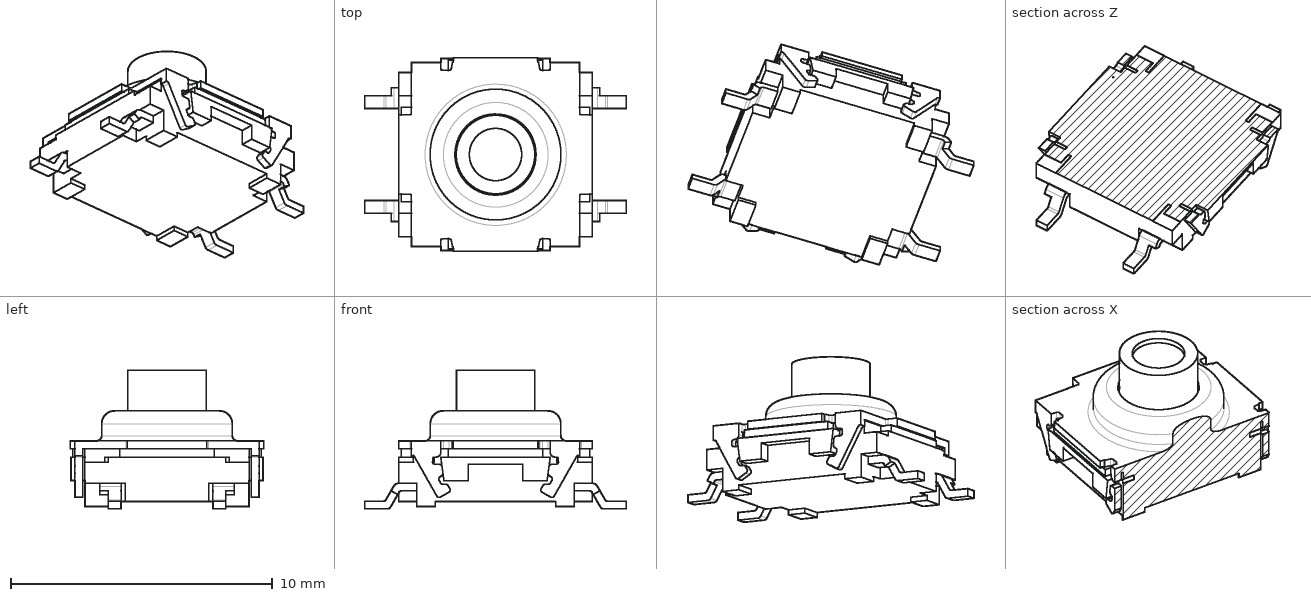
import cadquery as cq
import math


LEAD_SPAN = 10.0
BODY_SIZE = 7.4
PLUNGER_TOP = 5.3

PAD_BOTTOM = 0.09
BASE_BOTTOM = 0.28
LEDGE_BOTTOM = 0.99
LEDGE_TOP = 1.79
BASE_TOP = 1.98
COVER_TOP = 2.6
SHEET = 0.31
COVER_BOTTOM = COVER_TOP - SHEET

CORE_HALF = 3.14
RAISED_HALF = 2.24
RAISED_HALF_Y_SIDE = 2.34
RAISED_GAP = 0.13
RAISED_GAP_DEPTH = 0.5
WALL_HALF = 1.59
LOWER_HALF = 3.01
PAD_INNER_X = 2.3
PAD_INNER_Y = 2.14
SEAL_LONG_HALF = 3.6
SEAL_SHORT_HALF = 1.81

LUG_REACH = 3.67
LUG_TOP_HALF = 2.09
LUG_BOTTOM_HALF = 1.97
LUG_BOTTOM = 1.08
LUG_SLOT_HALF = 1.04
LUG_SLOT_TOP = 1.7

COVER_HALF_X = 3.21
COVER_HALF_Y = 3.52
TAB_X_HALF_WIDTH = 1.51
TAB_Y_HALF_WIDTH = 1.61
NOTCH_OUTER = LUG_TOP_HALF
NOTCH_INNER = 1.7
NOTCH_FLOOR = COVER_HALF_Y - SHEET
CORNER_RADIUS = 0.07
NOTCH_RADIUS = 0.1
LEG_SHOULDER = 2.04
LEG_ELBOW_X = 3.12
LEG_TIP = (2.19, 0.4)
LEG_TOE = (1.69, 0.69)
LOWER_RECESS = [(1.85, 0.95), (2.06, 0.93), (2.2, 1.17), (2.0, 1.31)]
LEG_GRIP_X = 2.05
HOOK_X = 2.4
LEG_RADIUS = 0.1
LEG_HEEL_RADIUS = 0.18

BOOT_DIAMETER = 5.0
BOOT_TOP = 3.75
BOOT_ROUND = 0.5
BOOT_FLARE = 0.2
PLUNGER_DIAMETER = 3.0
BOOT_HOLE_DIAMETER = 3.1
BOOT_HOLE_DEPTH = 0.2
DIMPLE_DIAMETER = 2.0
DIMPLE_DEPTH = 0.2

LEAD_THICKNESS = 0.3
LEAD_ANGLE = math.radians(60)
LEAD_INNER_Y = 1.75
LEAD_WIDTH = 0.5
LEAD_ROOT_WIDTH = 0.81
LEAD_SLOPE_X = 3.82
LEAD_ROOT_SLOPE = 0.34
LEAD_SHOULDER_RADIUS = 0.25
LEAD_SMALL_RADIUS = 0.1
LEAD_HEEL_RADIUS = 0.15

HALF_BODY = BODY_SIZE / 2


def block(half_x, half_y, bottom, top):
    """Box centred on the Z axis."""
    return cq.Workplane("XY").workplane(offset=bottom).rect(2 * half_x, 2 * half_y).extrude(top - bottom)


def block_between(x0, x1, y0, y1, z0, z1):
    """Box given by its limits on each axis."""
    return cq.Workplane("XY").box(x1 - x0, y1 - y0, z1 - z0, centered=False).translate((x0, y0, z0))


def prism_along_y(points, y0, y1):
    """Outline of (x, z) points extruded from y0 to y1."""
    return cq.Workplane("XZ", origin=(0, y0, 0)).polyline(points).close().extrude(y0 - y1)


def mirrored_x(shape):
    """Shape joined with its mirror image at -X."""
    return shape.union(shape.mirror("YZ"))


def mirrored_y(shape):
    """Shape joined with its mirror image at -Y."""
    return shape.union(shape.mirror("XZ"))


def make_base():
    base = block(LOWER_HALF, CORE_HALF, BASE_BOTTOM, LEDGE_TOP)
    base = base.union(block(CORE_HALF, CORE_HALF, LEDGE_BOTTOM, COVER_BOTTOM))
    base = base.union(block(HALF_BODY, CORE_HALF, LEDGE_BOTTOM, LEDGE_TOP))
    base = base.union(block(HALF_BODY, WALL_HALF, BASE_BOTTOM, LEDGE_BOTTOM))

    gap_floor = CORE_HALF - RAISED_GAP_DEPTH
    gap_x_side = block_between(
        gap_floor, CORE_HALF,
        RAISED_HALF, RAISED_HALF + RAISED_GAP,
        LEDGE_TOP, BASE_TOP,
    )
    gap_y_side = block_between(
        RAISED_HALF_Y_SIDE, RAISED_HALF_Y_SIDE + RAISED_GAP,
        gap_floor, CORE_HALF,
        LEDGE_TOP, BASE_TOP,
    )
    for gap in (gap_x_side, gap_y_side):
        base = base.cut(mirrored_y(mirrored_x(gap)))

    base = base.union(block(HALF_BODY, RAISED_HALF, LEDGE_TOP, BASE_TOP))
    base = base.union(block(SEAL_LONG_HALF, SEAL_SHORT_HALF, BASE_TOP, COVER_BOTTOM))
    base = base.union(block(SEAL_SHORT_HALF, SEAL_LONG_HALF, BASE_TOP, COVER_BOTTOM))

    pad = block_between(PAD_INNER_X, LOWER_HALF, PAD_INNER_Y, CORE_HALF, PAD_BOTTOM, BASE_BOTTOM)
    return base.union(mirrored_y(mirrored_x(pad)))


def make_lugs():
    outline = [
        (LUG_TOP_HALF, BASE_TOP),
        (LUG_BOTTOM_HALF, LUG_BOTTOM),
        (LUG_SLOT_HALF, LUG_BOTTOM),
        (LUG_SLOT_HALF, LUG_SLOT_TOP),
    ]
    outline += [(-x, z) for x, z in reversed(outline)]
    return mirrored_y(prism_along_y(outline, CORE_HALF, LUG_REACH))


def make_cover_plate():
    corners = block(COVER_HALF_X, COVER_HALF_Y, COVER_BOTTOM, COVER_TOP)
    tabs_x = block(HALF_BODY, TAB_X_HALF_WIDTH, COVER_BOTTOM, COVER_TOP)
    plate = corners.union(tabs_x)
    for x in (-COVER_HALF_X, COVER_HALF_X):
        for y in (-TAB_X_HALF_WIDTH, TAB_X_HALF_WIDTH):
            inner_corner = cq.selectors.NearestToPointSelector((x, y, COVER_TOP - SHEET / 2))
            plate = plate.edges("|Z").edges(inner_corner).fillet(CORNER_RADIUS)
    plate = plate.union(block(TAB_Y_HALF_WIDTH, HALF_BODY, COVER_BOTTOM, COVER_TOP))
    notch = (
        cq.Workplane("XY")
        .workplane(offset=COVER_BOTTOM)
        .polyline([
            (TAB_Y_HALF_WIDTH, HALF_BODY),
            (NOTCH_INNER, NOTCH_FLOOR),
            (NOTCH_OUTER, NOTCH_FLOOR),
            (NOTCH_OUTER, HALF_BODY),
        ])
        .close()
        .extrude(SHEET)
        .edges("|Z and (not >Y)")
        .fillet(NOTCH_RADIUS)
    )
    return plate.cut(mirrored_y(mirrored_x(notch)))


def make_clip_legs():
    """Slanted legs folded down from the cover, hooked around the lugs."""
    outline = [
        (COVER_HALF_X, COVER_TOP),
        (COVER_HALF_X, LEG_SHOULDER),
        (LEG_ELBOW_X, LEG_SHOULDER),
        LEG_TIP,
        LEG_TOE,
        *LOWER_RECESS,
        (LEG_GRIP_X, LUG_SLOT_TOP),
        (HOOK_X, LUG_SLOT_TOP),
        (HOOK_X, BASE_TOP),
        (NOTCH_OUTER, BASE_TOP),
        (NOTCH_OUTER, COVER_TOP),
    ]
    heel = cq.selectors.NearestToPointSelector((NOTCH_OUTER, COVER_HALF_Y - SHEET / 2, BASE_TOP))
    tip_and_hooks = cq.selectors.BoxSelector(
        (0, 0, 0),
        ((LEG_ELBOW_X + COVER_HALF_X) / 2, BODY_SIZE, COVER_BOTTOM),
    )
    leg = prism_along_y(outline, COVER_HALF_Y - SHEET, COVER_HALF_Y)
    leg = leg.edges("|Y").edges(tip_and_hooks - heel).fillet(LEG_RADIUS)
    leg = leg.edges("|Y").edges(heel).fillet(LEG_HEEL_RADIUS)
    return mirrored_y(mirrored_x(leg))


def make_boot_and_plunger():
    radius = BOOT_DIAMETER / 2
    boot = (
        cq.Workplane("XZ")
        .moveTo(0, COVER_BOTTOM)
        .lineTo(radius + BOOT_FLARE, COVER_BOTTOM)
        .lineTo(radius + BOOT_FLARE, COVER_TOP)
        .radiusArc((radius, COVER_TOP + BOOT_FLARE), BOOT_FLARE)
        .lineTo(radius, BOOT_TOP - BOOT_ROUND)
        .radiusArc((radius - BOOT_ROUND, BOOT_TOP), -BOOT_ROUND)
        .lineTo(0, BOOT_TOP)
        .close()
        .revolve(360, (0, 0, 0), (0, 1, 0))
    )
    top = boot.faces(">Z").workplane(origin=(0, 0, BOOT_TOP))
    boot = top.circle(BOOT_HOLE_DIAMETER / 2).cutBlind(-BOOT_HOLE_DEPTH)
    plunger = (
        cq.Workplane("XY")
        .workplane(offset=COVER_BOTTOM)
        .circle(PLUNGER_DIAMETER / 2)
        .extrude(PLUNGER_TOP - COVER_BOTTOM)
        .faces(">Z")
        .workplane()
        .circle(DIMPLE_DIAMETER / 2)
        .cutBlind(-DIMPLE_DEPTH)
    )
    return boot.union(plunger)


def make_leads():
    run, rise = math.cos(LEAD_ANGLE), math.sin(LEAD_ANGLE)
    tip = LEAD_SPAN / 2
    bend_shift = LEAD_THICKNESS * math.tan(LEAD_ANGLE / 2)
    root_underside = LEDGE_BOTTOM - LEAD_THICKNESS
    drop_run = root_underside * run / rise
    upper_bend = LEAD_SLOPE_X
    lower_bend = upper_bend + drop_run

    shoulder = (upper_bend, LEDGE_BOTTOM)
    toe_bend = (lower_bend, LEAD_THICKNESS)
    heel = (lower_bend - bend_shift, 0)
    inner_bend = (upper_bend - bend_shift, root_underside)
    outline = [
        (LOWER_HALF, LEDGE_BOTTOM),
        shoulder,
        toe_bend,
        (tip, LEAD_THICKNESS),
        (tip, 0),
        heel,
        inner_bend,
        (LOWER_HALF, root_underside),
    ]
    bends = [
        (shoulder, LEAD_SHOULDER_RADIUS),
        (toe_bend, LEAD_SMALL_RADIUS),
        (heel, LEAD_HEEL_RADIUS),
        (inner_bend, LEAD_SMALL_RADIUS),
    ]

    def strip(width):
        lead = prism_along_y(outline, LEAD_INNER_Y, LEAD_INNER_Y + width)
        for (x, z), radius in bends:
            bend = cq.selectors.NearestToPointSelector((x, LEAD_INNER_Y + width / 2, z))
            lead = lead.edges("|Y").edges(bend).fillet(radius)
        return lead

    end_x = upper_bend + LEAD_ROOT_SLOPE * run
    end_z = LEDGE_BOTTOM - LEAD_ROOT_SLOPE * rise
    reach = LEAD_SPAN
    below_end = prism_along_y(
        [
            (end_x - reach * rise, end_z - reach * run),
            (end_x + reach * rise, end_z + reach * run),
            (end_x + reach, end_z - reach),
        ],
        0, HALF_BODY,
    )
    lead = strip(LEAD_ROOT_WIDTH).cut(below_end).union(strip(LEAD_WIDTH))
    return mirrored_y(mirrored_x(lead))


result = (
    make_base()
    .union(make_lugs())
    .union(make_cover_plate())
    .union(make_clip_legs())
    .union(make_boot_and_plunger())
    .union(make_leads())
)